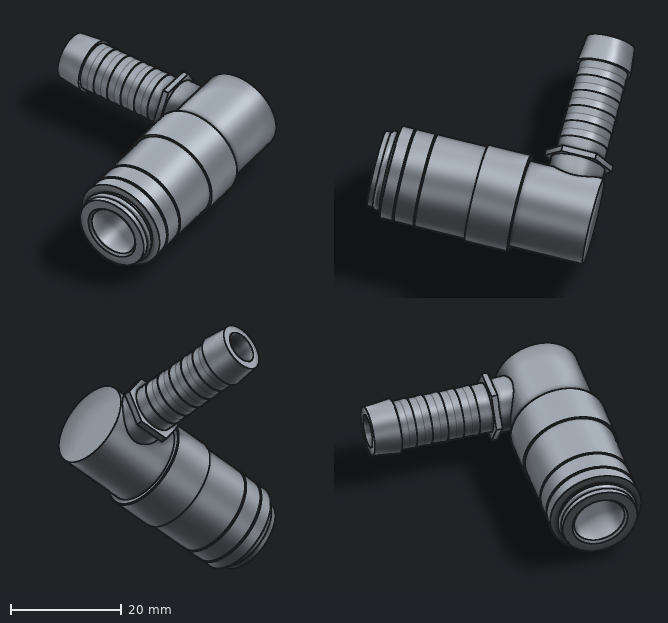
import cadquery as cq


BODY_RADIUS = 8.0
BODY_END = 5.4
COLLAR_RADIUS = 9.0
COLLAR_START = -8.3
COLLAR_END = -16.4
COLLAR_CHAMFER = 0.15
SLEEVE_RADIUS = 8.63
SLEEVE_END = -32.35
NOSE_RADIUS = 7.05
NOSE_END = -35.1

GROOVE_STARTS = (-25.8, -29.7)
GROOVE_WIDTH = 0.3
GROOVE_DEPTH = 0.1

BEAD_CENTER = -33.45
BEAD_WIDTH = 1.2
BEAD_HEIGHT = 0.4

SOCKET_RADIUS = 4.75
SOCKET_CHAMFER = 0.45
SOCKET_END = COLLAR_END
CAVITY_RADIUS = 3.53
CAVITY_END = CAVITY_RADIUS

OVERALL_LENGTH = 42.5
TAIL_TIP = COLLAR_RADIUS - OVERALL_LENGTH
TAIL_RADIUS = 4.55
TAIL_BORE_RADIUS = 3.0
BARB_RADIUS = 5.1
BARB_LENGTH = 5.0
RIDGE_COUNT = 5
RIDGE_OFFSET = 6.5
RIDGE_PITCH = 2.98
RIDGE_LENGTH = RIDGE_PITCH / 2
RIDGE_RADIUS = 4.68
NECK_RADIUS = 5.0

HEX_OFFSET = 22.45
HEX_THICKNESS = 1.15
HEX_ACROSS_CORNERS = 12.65


def body_cylinder(radius, start, end):
    """Cylinder on the body axis, from Y = start toward -Y."""
    plane = cq.Workplane("XZ", origin=(0, start, 0))
    return plane.circle(radius).extrude(start - end)


def tail_cylinder(radius, start, end):
    """Cylinder on the tail axis, from X = start to X = end."""
    plane = cq.Workplane("YZ", origin=(start, 0, 0))
    return plane.circle(radius).extrude(end - start)


def make_bead():
    rear = BEAD_CENTER + BEAD_WIDTH / 2
    front = BEAD_CENTER - BEAD_WIDTH / 2
    crest = (NOSE_RADIUS + BEAD_HEIGHT, BEAD_CENTER)
    profile = (
        cq.Workplane("XY")
        .moveTo(0, rear)
        .lineTo(NOSE_RADIUS, rear)
        .threePointArc(crest, (NOSE_RADIUS, front))
        .lineTo(0, front)
        .close()
    )
    return profile.revolve(360, (0, 0, 0), (0, 1, 0))


def make_body():
    collar = body_cylinder(COLLAR_RADIUS, COLLAR_START, COLLAR_END)
    collar = collar.faces(">Y").chamfer(COLLAR_CHAMFER)
    sleeve = body_cylinder(SLEEVE_RADIUS, COLLAR_END, SLEEVE_END)
    for start in GROOVE_STARTS:
        end = start - GROOVE_WIDTH
        floor = body_cylinder(SLEEVE_RADIUS - GROOVE_DEPTH, start, end)
        sleeve = sleeve.cut(body_cylinder(COLLAR_RADIUS, start, end).cut(floor))
    body = body_cylinder(BODY_RADIUS, BODY_END, COLLAR_START)
    body = body.union(collar).union(sleeve)
    body = body.union(body_cylinder(NOSE_RADIUS, SLEEVE_END, NOSE_END))
    return body.union(make_bead())


def make_tail():
    """Barbed tail, revolved around X, with its hexagonal flange and neck."""
    hex_start = TAIL_TIP + HEX_OFFSET
    hex_end = hex_start + HEX_THICKNESS
    barb_end = TAIL_TIP + BARB_LENGTH
    outline = [
        (TAIL_TIP, 0),
        (TAIL_TIP, TAIL_RADIUS),
        (barb_end, BARB_RADIUS),
        (barb_end, TAIL_RADIUS),
    ]
    for index in range(RIDGE_COUNT):
        ridge_start = TAIL_TIP + RIDGE_OFFSET + index * RIDGE_PITCH
        ridge_end = ridge_start + RIDGE_LENGTH
        outline.append((ridge_start, TAIL_RADIUS))
        outline.append((ridge_end, RIDGE_RADIUS))
        outline.append((ridge_end, TAIL_RADIUS))
    outline.append((hex_start, TAIL_RADIUS))
    outline.append((hex_start, 0))
    tail = cq.Workplane("XY").polyline(outline).close().revolve(360, (0, 0, 0), (1, 0, 0))
    flange = (
        cq.Workplane("YZ", origin=(hex_start, 0, 0))
        .polygon(6, HEX_ACROSS_CORNERS)
        .extrude(HEX_THICKNESS)
    )
    return tail.union(flange).union(tail_cylinder(NECK_RADIUS, hex_end, 0))


def make_bores():
    """Tail bore meeting the stepped body bore around the origin."""
    socket = body_cylinder(SOCKET_RADIUS, SOCKET_END, NOSE_END)
    mouth_radius = SOCKET_RADIUS + SOCKET_CHAMFER
    mouth = cq.Workplane("XY").add(
        cq.Solid.makeCone(
            mouth_radius,
            SOCKET_RADIUS,
            SOCKET_CHAMFER,
            pnt=cq.Vector(0, NOSE_END, 0),
            dir=cq.Vector(0, 1, 0),
        )
    )
    cavity = body_cylinder(CAVITY_RADIUS, CAVITY_END, SOCKET_END)
    return socket.union(mouth).union(cavity).union(tail_cylinder(TAIL_BORE_RADIUS, TAIL_TIP, 0))


result = make_body().union(make_tail()).cut(make_bores())